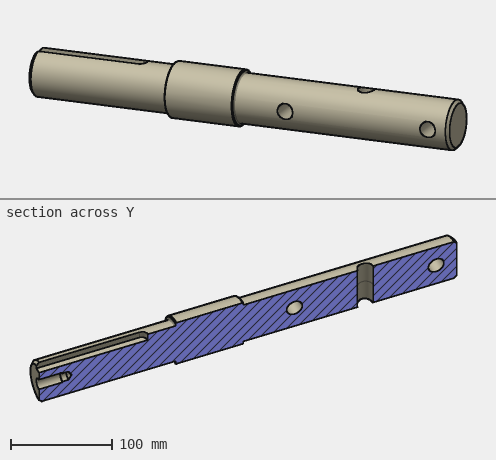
import cadquery as cq
import math

shaft_length = 449.6
drilled_diameter = 50.8
drilled_radius = drilled_diameter / 2
keyed_diameter = 49.2125
keyed_radius = keyed_diameter / 2

collar_diameter = 57.15
collar_radius = collar_diameter / 2
collar_start = 147.0
collar_end = 220.0
collar_chamfer = 1.0
shoulder_fillet = 0.8

end_chamfer = 3.175

keyway_width = 12.7
keyway_depth = 8.0
keyway_length = 117.0

cross_hole_diameter = 16.3
cross_hole_pitch = 76.2
last_hole_from_end = 22.225
last_hole_x = shaft_length - last_hole_from_end
vertical_hole_x = last_hole_x - cross_hole_pitch
first_hole_x = vertical_hole_x - cross_hole_pitch

thread_diameter = 12.7
thread_depth = 25.4
tap_drill_diameter = 10.7
tap_drill_depth = 31.75
drill_point_angle = 118.0


def make_shaft():
    """Revolve the stepped half profile about the X axis."""
    profile = (
        cq.Workplane("XY")
        .lineTo(0, keyed_radius - end_chamfer)
        .lineTo(end_chamfer, keyed_radius)
        .lineTo(collar_start - shoulder_fillet, keyed_radius)
        .radiusArc((collar_start, keyed_radius + shoulder_fillet), -shoulder_fillet)
        .lineTo(collar_start, collar_radius - collar_chamfer)
        .lineTo(collar_start + collar_chamfer, collar_radius)
        .lineTo(collar_end - collar_chamfer, collar_radius)
        .lineTo(collar_end, collar_radius - collar_chamfer)
        .lineTo(collar_end, drilled_radius + shoulder_fillet)
        .radiusArc((collar_end + shoulder_fillet, drilled_radius), -shoulder_fillet)
        .lineTo(shaft_length - end_chamfer, drilled_radius)
        .lineTo(shaft_length, drilled_radius - end_chamfer)
        .lineTo(shaft_length, 0)
        .close()
    )
    return profile.revolve(360, (0, 0, 0), (1, 0, 0))


def make_keyway():
    """Slot cutter along the top of the keyed end."""
    half_width = keyway_width / 2
    straight_length = keyway_length - half_width
    return (
        cq.Workplane("XY", origin=(0, 0, keyed_radius - keyway_depth))
        .moveTo(0, -half_width)
        .lineTo(straight_length, -half_width)
        .threePointArc((keyway_length, 0), (straight_length, half_width))
        .lineTo(0, half_width)
        .close()
        .extrude(keyway_depth)
    )


def make_cross_hole(plane, x):
    """Through-hole cutter across the shaft, normal to the given plane."""
    return (
        cq.Workplane(plane)
        .center(x, 0)
        .circle(cross_hole_diameter / 2)
        .extrude(drilled_diameter, both=True)
    )


def make_centre_hole():
    """Revolved cutter for the stepped centre hole with its conical bottom."""
    thread_radius = thread_diameter / 2
    drill_radius = tap_drill_diameter / 2
    point_length = drill_radius / math.tan(math.radians(drill_point_angle / 2))
    profile = (
        cq.Workplane("XY")
        .lineTo(0, thread_radius)
        .lineTo(thread_depth, thread_radius)
        .lineTo(thread_depth, drill_radius)
        .lineTo(tap_drill_depth, drill_radius)
        .lineTo(tap_drill_depth + point_length, 0)
        .close()
    )
    return profile.revolve(360, (0, 0, 0), (1, 0, 0))


cross_holes = (
    ("XZ", first_hole_x),
    ("XY", vertical_hole_x),
    ("XZ", last_hole_x),
)

result = make_shaft().cut(make_keyway()).cut(make_centre_hole())
for hole_plane, hole_x in cross_holes:
    result = result.cut(make_cross_hole(hole_plane, hole_x))